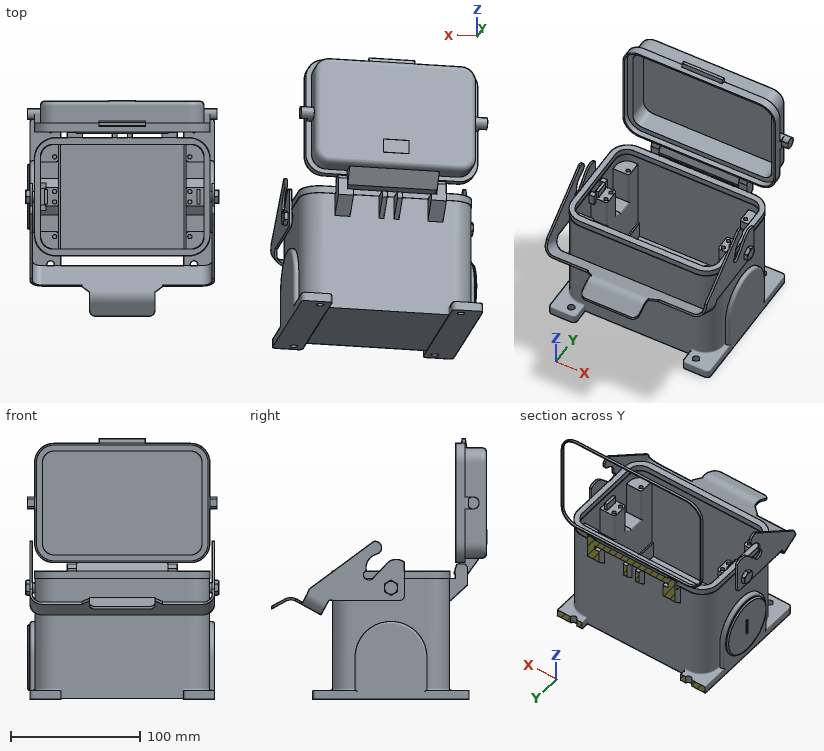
import cadquery as cq
import math

overlap = 0.8

pick_margin = 0.5

body_half_x = 67.7
body_half_y = 45.5
body_bottom = 0.6
body_top = 99.4
body_corner = 16.0
lip_bottom = 93.7
lip_overhang = 0.5
cavity_half_x = 63.2
cavity_half_y = 40.5
cavity_corner = 10.0
chamber_half_x = cavity_half_x + lip_overhang
chamber_half_y = cavity_half_y + lip_overhang
floor_thickness = 5.0
floor_top = body_bottom + floor_thickness

foot_outer_x = 71.5
foot_inner_x = 47.5
foot_half_y = 60.6
foot_height = 7.0
foot_corner = 3.2
foot_edge_fillet = 1.0
foot_hole_x = 55.5
foot_hole_y = 52.5
foot_hole_diameter = 5.7
root_fillet = 1.2

boss_radius = 27.9
boss_center_z = 32.5
boss_face_x = foot_outer_x
boss_edge_fillet = 2.0
plug_radius = 25.5
plug_face_x = 73.5
plug_edge_chamfer = 1.2
plug_slot_width = 1.6
plug_slot_length = 14.1
plug_slot_depth = 0.8

pillar_top = 85.9
pillar_face_x = 49.3
pillar_edge_fillet = 2.0
corner_pillar_y = 27.0
center_pillar_y = 7.3
ledge_z = 55.4
ramp_width = 6.9
ramp_rise = 4.8
plinth_face_x = 47.9
plinth_height = 20.2
pillar_hole_x = 52.3
pillar_hole_diameter = 3.2
pillar_hole_depth = 10.0
corner_hole_y = 31.0
center_hole_y = 4.0
tab_inner_x = 58.0
tab_thickness = 2.5
tab_half_y = 5.5
tab_height = 6.5
clip_inner_x = 59.2
clip_inner_y = 6.5
clip_outer_y = 10.5
clip_drop = 4.0
clip_rise = 5.0

lid_center_z = 152.1
lid_half_x = 63.5
lid_half_z = 42.8
lid_corner = 11.5
lid_back_y = 74.1
lid_back_fillet = 3.8
flange_half_x = 67.9
flange_half_z = 46.3
flange_corner = 15.0
flange_front_y = 50.0
flange_back_y = 57.2
seat_margin = 1.5
seat_depth = 4.8
lid_cavity_margin = 6.0
lid_cavity_depth = 21.8
back_pad_size = (20.2, 10.7)
back_pad_thickness = 0.5
back_pad_z = 125.7
lid_grip_half_x = 18.0
lid_top_z = 202.0
pin_end_x = 73.5
pin_radius = 4.6
pin_center_y = 63.6
pin_flat_y = 60.0

hinge_outer_x = 42.6
hinge_gusset_x = 30.7
lid_ear_half_x = 35.4
rib_inner_x = 4.0
rib_outer_x = 7.9
gusset_top = lip_bottom
hinge_front_y = 49.7
hinge_back_y = 59.4
knuckle_top = 105.0
ear_front_y = 48.9
ear_bottom = 97.0
ear_top = 110.3

lever_outer_x = 71.5
lever_thickness = 1.8
lever_back_y = 10.3
lever_bottom_z = 76.8
lever_back_corner = 3.2
pivot_z = 86.5
pivot_radius = 4.0
head_across_corners = 11.7
head_end_x = 74.7
head_chamfer = 0.8
bar_start = (-49.7, 73.7)
bar_angle = 28.7
bar_width = 17.2
bar_bend_radius = 9.5
grip_end_y = -92.7
grip_half_width = 25.5
grip_root_half_width = 31.3
grip_shoulder_y = -69.5
grip_neck_y = -74.0
grip_corner = 5.0
crest_y = -77.5
crest_radius = 10.0


def block(x0, x1, y0, y1, z0, z1):
    """Box given by its limits along the three axes."""
    return cq.Workplane("XY").box(x1 - x0, y1 - y0, z1 - z0, centered=False).translate((x0, y0, z0))


def rounded_block(half_x, half_y, radius, z0, z1):
    """Upright prism centred on Z with rounded vertical corners."""
    base = cq.Workplane("XY").workplane(offset=z0).rect(2 * half_x, 2 * half_y)
    return base.extrude(z1 - z0).edges("|Z").fillet(radius)


def lid_slab(half_x, half_z, radius, y0, y1):
    """Rounded slab standing at the lid position, given by its half sizes."""
    base = cq.Workplane("XZ", origin=(0, y0, lid_center_z)).rect(2 * half_x, 2 * half_z)
    return base.extrude(y0 - y1).edges("|Y").fillet(radius)


def side_prism(outline, x0, x1):
    """Extrude a closed outline lying in the YZ plane from x0 to x1."""
    return outline.extrude(x1 - x0).translate((x0, 0, 0))


def both_sides(shape):
    """A shape joined with its mirror image across the YZ plane."""
    return shape.union(shape.mirror("YZ"))


def make_foot():
    """Mounting strip under the +X side with a screw hole near each end."""
    width = foot_outer_x - foot_inner_x
    center_x = (foot_outer_x + foot_inner_x) / 2
    foot = rounded_block(width / 2, foot_half_y, foot_corner, 0, foot_height)
    foot = foot.faces(">Z").edges().fillet(foot_edge_fillet).translate((center_x, 0, 0))
    holes = (
        cq.Workplane("XY")
        .pushPoints([(foot_hole_x, foot_hole_y), (foot_hole_x, -foot_hole_y)])
        .circle(foot_hole_diameter / 2)
        .extrude(foot_height)
    )
    return foot.cut(holes)


def make_boss():
    """Arched boss on the +X side wall."""
    outline = (
        cq.Workplane("YZ")
        .moveTo(-boss_radius, 0)
        .lineTo(-boss_radius, boss_center_z)
        .threePointArc((0, boss_center_z + boss_radius), (boss_radius, boss_center_z))
        .lineTo(boss_radius, 0)
        .close()
    )
    boss = side_prism(outline, cavity_half_x, boss_face_x)
    rim = boss.faces(">X").edges("not(<Z)")
    return rim.fillet(boss_edge_fillet)


def make_plug():
    """Slotted round plug in the -X boss."""
    plug = (
        cq.Workplane("YZ", origin=(-plug_face_x, 0, boss_center_z))
        .circle(plug_radius)
        .extrude(plug_face_x - body_half_x)
        .faces("<X")
        .chamfer(plug_edge_chamfer)
    )
    slot = block(
        -plug_face_x, -plug_face_x + plug_slot_depth,
        -plug_slot_width / 2, plug_slot_width / 2,
        boss_center_z - plug_slot_length / 2, boss_center_z + plug_slot_length / 2,
    )
    return plug.cut(slot)


def make_pillars():
    """Stepped block on the +X inner wall: two corner pillars, two ledges and a centre pillar."""
    ramp_y = center_pillar_y + ramp_width
    outline = (
        cq.Workplane("YZ")
        .moveTo(-chamber_half_y, body_bottom)
        .lineTo(-chamber_half_y, pillar_top)
        .lineTo(-corner_pillar_y, pillar_top)
        .lineTo(-corner_pillar_y, ledge_z)
        .lineTo(-ramp_y, ledge_z)
        .lineTo(-center_pillar_y, ledge_z + ramp_rise)
        .lineTo(-center_pillar_y, pillar_top)
        .lineTo(center_pillar_y, pillar_top)
        .lineTo(center_pillar_y, ledge_z + ramp_rise)
        .lineTo(ramp_y, ledge_z)
        .lineTo(corner_pillar_y, ledge_z)
        .lineTo(corner_pillar_y, pillar_top)
        .lineTo(chamber_half_y, pillar_top)
        .lineTo(chamber_half_y, body_bottom)
        .close()
    )
    pillars = side_prism(outline, pillar_face_x, chamber_half_x)
    front = pillars.faces("<X").edges(cq.selectors.BoxSelector(
        (pillar_face_x - pick_margin, -corner_pillar_y - pick_margin, ledge_z - pick_margin),
        (pillar_face_x + pick_margin, corner_pillar_y + pick_margin, pillar_top - pick_margin),
    ))
    pillars = front.fillet(pillar_edge_fillet)
    hole_ys = (corner_hole_y, center_hole_y, -center_hole_y, -corner_hole_y)
    holes = (
        cq.Workplane("XY", origin=(0, 0, pillar_top - pillar_hole_depth))
        .pushPoints([(pillar_hole_x, y) for y in hole_ys])
        .circle(pillar_hole_diameter / 2)
        .extrude(pillar_hole_depth)
    )
    plinth = block(plinth_face_x, chamber_half_x, -chamber_half_y, chamber_half_y,
                   body_bottom, plinth_height)
    tab = block(tab_inner_x, tab_inner_x + tab_thickness, -tab_half_y, tab_half_y,
                pillar_top, pillar_top + tab_height)
    return pillars.cut(holes).union(plinth).union(tab)


def make_clip():
    """Pair of small catches on the -X wall, one on each side of the centre tab."""
    catch = block(-chamber_half_x, -clip_inner_x, clip_inner_y, clip_outer_y,
                  pillar_top - clip_drop, pillar_top + clip_rise)
    return catch.union(catch.mirror("XZ"))


def make_housing():
    """Open box with lip, feet, side bosses, plug and inner pillars."""
    outer = rounded_block(body_half_x, body_half_y, body_corner, body_bottom, body_top)
    housing = outer.union(both_sides(make_foot()))
    root = housing.edges(cq.selectors.BoxSelector(
        (-body_half_x - pick_margin, -body_half_y - pick_margin, foot_height - pick_margin),
        (body_half_x + pick_margin, body_half_y + pick_margin, foot_height + pick_margin),
    ))
    housing = root.fillet(root_fillet)
    housing = housing.union(both_sides(make_boss())).union(make_plug())
    lip = rounded_block(body_half_x + lip_overhang, body_half_y + lip_overhang, body_corner + lip_overhang,
                        lip_bottom, body_top)
    opening = rounded_block(cavity_half_x, cavity_half_y, cavity_corner, lip_bottom, body_top)
    chamber = rounded_block(chamber_half_x, chamber_half_y, cavity_corner + lip_overhang,
                            floor_top, lip_bottom)
    cavity = opening.union(chamber)
    pillars = both_sides(make_pillars()).union(make_clip()).intersect(cavity)
    return housing.union(lip).cut(cavity).union(pillars)


def make_pin():
    """D-shaped latch pin on the +X side of the lid, with the web joining it to the flange."""
    pin = (
        cq.Workplane("YZ", origin=(lid_half_x - overlap, 0, 0))
        .center(pin_center_y, lid_center_z)
        .circle(pin_radius)
        .extrude(pin_end_x - lid_half_x + overlap)
    )
    trim_y = pin_center_y - 2 * pin_radius
    low, high = lid_center_z - pin_radius, lid_center_z + pin_radius
    pin = pin.cut(block(0, pin_end_x, trim_y, pin_flat_y, low, high))
    web = block(lid_half_x - overlap, flange_half_x, flange_back_y, pin_center_y, low, high)
    return pin.union(web)


def make_lid_ear():
    """Hinge ear below the lid, filling the gap between the bracket arms."""
    outline = cq.Workplane("YZ").polyline([
        (ear_front_y, ear_bottom), (ear_front_y, ear_bottom + 1.8), (55.8, ear_top),
        (69.0, ear_top), (hinge_back_y, ear_bottom),
    ]).close()
    return side_prism(outline, -lid_ear_half_x, lid_ear_half_x)


def make_lid():
    """Hollow lid with a flange, a stepped seat, a top grip, a hinge ear and two latch pins."""
    shell = lid_slab(lid_half_x, lid_half_z, lid_corner, flange_front_y, lid_back_y)
    shell = shell.faces(">Y").edges().fillet(lid_back_fillet)
    flange = lid_slab(flange_half_x, flange_half_z, flange_corner, flange_front_y, flange_back_y)
    seat = lid_slab(flange_half_x - seat_margin, flange_half_z - seat_margin, flange_corner - seat_margin,
                    flange_front_y, flange_front_y + seat_depth)
    cavity = lid_slab(flange_half_x - lid_cavity_margin, flange_half_z - lid_cavity_margin,
                      flange_corner - lid_cavity_margin,
                      flange_front_y, flange_front_y + lid_cavity_depth)
    pad_x, pad_z = back_pad_size
    pad = block(-pad_x / 2, pad_x / 2, lid_back_y - overlap, lid_back_y + back_pad_thickness,
                back_pad_z - pad_z / 2, back_pad_z + pad_z / 2)
    grip = side_prism(
        cq.Workplane("YZ").polyline([
            (59.0, 194.0), (57.5, lid_top_z), (55.1, lid_top_z), (54.3, 198.0), (56.2, 194.0),
        ]).close(),
        -lid_grip_half_x, lid_grip_half_x,
    )
    lid = shell.union(flange).union(pad).union(grip).union(make_lid_ear()).union(both_sides(make_pin()))
    return lid.cut(seat).cut(cavity)


def make_hinge():
    """Two bracket arms and two ribs on the back wall of the body."""
    gusset_points = [
        (body_half_y - overlap, 75.1), (body_half_y - overlap, gusset_top),
        (hinge_back_y, gusset_top), (hinge_back_y, 88.7),
    ]
    knuckle_points = [
        (hinge_front_y, gusset_top), (hinge_front_y, 101.5), (51.1, knuckle_top),
        (57.2, knuckle_top), (hinge_back_y, 102.2), (hinge_back_y, gusset_top),
    ]

    def gusset(x0, x1):
        return side_prism(cq.Workplane("YZ").polyline(gusset_points).close(), x0, x1)

    arm = gusset(hinge_gusset_x, hinge_outer_x).union(
        side_prism(cq.Workplane("YZ").polyline(knuckle_points).close(), lid_ear_half_x, hinge_outer_x)
    )
    return both_sides(arm.union(gusset(rib_inner_x, rib_outer_x)))


def make_lever_arm():
    """Flat hooked plate on the +X side."""
    angle = math.radians(bar_angle)
    bar_end = (bar_start[0] - bar_width * math.cos(angle), bar_start[1] + bar_width * math.sin(angle))
    bend = lever_back_corner * (1 - math.sqrt(0.5))
    corner_top = (lever_back_y, lever_bottom_z + lever_back_corner)
    outline = (
        cq.Workplane("YZ")
        .moveTo(*corner_top)
        .lineTo(lever_back_y, 106.3)
        .threePointArc((3.8, 108.5), (-2.5, 106.0))
        .lineTo(-13.1, 94.7)
        .threePointArc((-19.4, 93.1), (-21.2, 98.0))
        .lineTo(-19.0, 99.5)
        .threePointArc((-17.2, 108.3), (-11.0, 112.5))
        .threePointArc((-7.3, 118.0), (-13.3, 122.5))
        .lineTo(-63.5, 85.5)
        .lineTo(*bar_end)
        .lineTo(*bar_start)
        .lineTo(-47.9, lever_bottom_z)
        .lineTo(lever_back_y - lever_back_corner, lever_bottom_z)
        .threePointArc((lever_back_y - bend, lever_bottom_z + bend), corner_top)
        .close()
    )
    return side_prism(outline, lever_outer_x - lever_thickness, lever_outer_x)


def make_lever_bar():
    """Front crossbar joining both arms with rounded bends."""
    angle = math.radians(bar_angle)
    plane = cq.Plane(
        origin=(0, *bar_start), xDir=(1, 0, 0), normal=(0, -math.cos(angle), math.sin(angle)),
    )

    def channel(inset):
        half = lever_outer_x - inset
        radius = bar_bend_radius - inset
        bend = radius * (1 - math.sqrt(0.5))
        return (
            cq.Workplane(plane)
            .moveTo(-half, 0)
            .threePointArc((bend - half, bend - radius), (radius - half, -radius))
            .lineTo(half - radius, -radius)
            .threePointArc((half - bend, bend - radius), (half, 0))
            .close()
            .extrude(bar_width)
        )

    return channel(0).cut(channel(lever_thickness))


def make_grip():
    """Curved thumb tab in front of the crossbar."""
    angle = math.radians(bar_angle)
    sine, cosine, slope = math.sin(angle), math.cos(angle), math.tan(angle)
    root_depth = bar_bend_radius - lever_thickness
    root_y = bar_start[0] - bar_width * cosine - root_depth * sine
    root_z = bar_start[1] + bar_width * sine - root_depth * cosine
    tangent_y = crest_y + crest_radius * sine
    center_z = root_z + slope * (root_y - tangent_y) - crest_radius * cosine
    inner_radius = crest_radius - lever_thickness

    def arc_point(radius, side):
        return (crest_y + side * radius * sine, center_z + radius * cosine)

    def line_point(radius, side, y):
        start_y, start_z = arc_point(radius, side)
        return (y, start_z - slope * abs(y - start_y))

    sheet = (
        cq.Workplane("YZ")
        .moveTo(*line_point(crest_radius, 1, root_y))
        .lineTo(*arc_point(crest_radius, 1))
        .threePointArc((crest_y, center_z + crest_radius), arc_point(crest_radius, -1))
        .lineTo(*line_point(crest_radius, -1, grip_end_y))
        .lineTo(*line_point(inner_radius, -1, grip_end_y))
        .lineTo(*arc_point(inner_radius, -1))
        .threePointArc((crest_y, center_z + inner_radius), arc_point(inner_radius, 1))
        .lineTo(*line_point(inner_radius, 1, root_y))
        .close()
    )
    sheet = side_prism(sheet, -grip_root_half_width, grip_root_half_width)
    footprint = (
        cq.Workplane("XY")
        .moveTo(-grip_root_half_width, root_y)
        .lineTo(-grip_root_half_width, grip_shoulder_y)
        .lineTo(-grip_half_width, grip_neck_y)
        .lineTo(-grip_half_width, grip_end_y)
        .lineTo(grip_half_width, grip_end_y)
        .lineTo(grip_half_width, grip_neck_y)
        .lineTo(grip_root_half_width, grip_shoulder_y)
        .lineTo(grip_root_half_width, root_y)
        .close()
        .extrude(body_top)
        .edges("|Z and <Y")
        .fillet(grip_corner)
    )
    return sheet.intersect(footprint)


def make_pivot():
    """Bolt carrying the +X lever arm: round shank and hexagonal head with corners up and down."""
    head_length = head_end_x - lever_outer_x + overlap
    shank_base = cq.Workplane("YZ", origin=(body_half_x - overlap, 0, pivot_z))
    head_base = cq.Workplane("YZ", origin=(lever_outer_x - overlap, 0, pivot_z))
    shank = shank_base.circle(pivot_radius).extrude(lever_outer_x - body_half_x)
    head = head_base.transformed(rotate=(0, 0, 90)).polygon(6, head_across_corners).extrude(head_length)
    rounding = (
        head_base
        .circle(head_across_corners / 2)
        .extrude(head_length)
        .faces(">X")
        .chamfer(head_chamfer)
    )
    return shank.union(head.intersect(rounding))


lever = both_sides(make_lever_arm().union(make_pivot())).union(make_lever_bar()).union(make_grip())
result = make_housing().union(make_hinge()).union(make_lid()).union(lever)